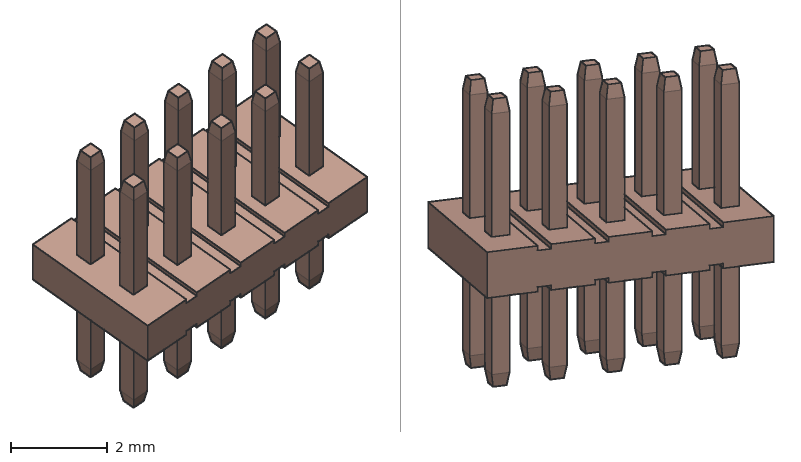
import cadquery as cq

pitch = 1.27
row_count = 5
column_count = 2

body_width = 3.4
body_length = row_count * pitch
body_height = 1.005

groove_width = 0.3
groove_depth = 0.1

pin_width = 0.4
tip_width = 0.3
tip_length = 0.3
pin_length_above = 3.0
pin_length_below = 2.3


def centred_positions(count):
    """Positions one pitch apart, centred on zero."""
    return [(index - (count - 1) / 2) * pitch for index in range(count)]


def make_body():
    """Block cut by grooves that run across its full width."""
    body = cq.Workplane("XY").box(body_width, body_length, body_height, centered=(True, True, False))
    groove = cq.Workplane("XY").box(body_width, groove_width, groove_depth, centered=(True, True, False))
    for y in centred_positions(row_count - 1):
        body = body.cut(groove.translate((0, y, 0)))
        body = body.cut(groove.translate((0, y, body_height - groove_depth)))
    return body


def make_pin():
    """Square pin passing through the body, tapered on all four sides at both ends."""
    shank_bottom = tip_length - pin_length_below
    shank_top = body_height + pin_length_above - tip_length
    shank = (
        cq.Workplane("XY")
        .workplane(offset=shank_bottom)
        .rect(pin_width, pin_width)
        .extrude(shank_top - shank_bottom)
    )
    upper_tip = (
        cq.Workplane("XY")
        .workplane(offset=shank_top)
        .rect(pin_width, pin_width)
        .workplane(offset=tip_length)
        .rect(tip_width, tip_width)
        .loft(ruled=True)
    )
    lower_tip = upper_tip.mirror("XY", (0, 0, (shank_bottom + shank_top) / 2))
    return shank.union(upper_tip).union(lower_tip)


result = make_body()
pin = make_pin()
for x in centred_positions(column_count):
    for y in centred_positions(row_count):
        result = result.union(pin.translate((x, y, 0)))